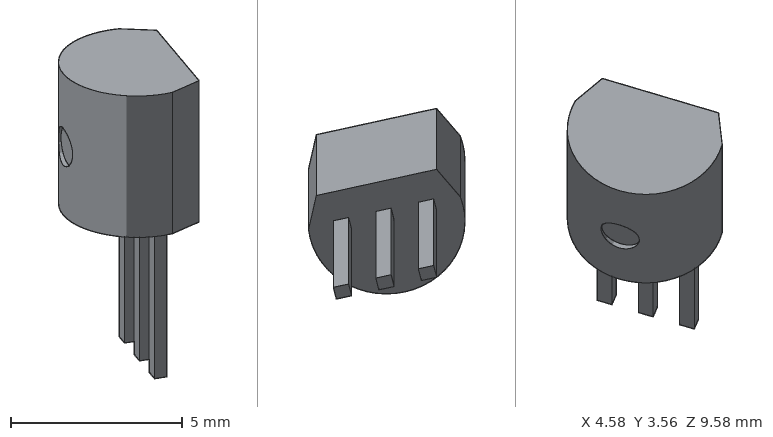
import cadquery as cq
import math

body_radius = 2.29
body_depth = 3.56
body_height = 4.58
back_y = body_depth - body_radius
back_half_width = 1.8
slant_depth = 1.01

total_height = 9.58
lead_length = total_height - body_height
lead_width = 0.46
lead_thickness = 0.38
lead_pitch = 1.27

recess_radius = 0.59
recess_depth = 0.15
recess_below_top = 2.37


def make_body():
    slant_y = back_y - slant_depth
    slant_x = math.sqrt(body_radius**2 - slant_y**2)
    return (
        cq.Workplane("XY")
        .workplane(offset=lead_length)
        .moveTo(-back_half_width, back_y)
        .lineTo(-slant_x, slant_y)
        .threePointArc((0, -body_radius), (slant_x, slant_y))
        .lineTo(back_half_width, back_y)
        .close()
        .extrude(body_height)
    )


def make_leads():
    return (
        cq.Workplane("XY")
        .center(0, lead_thickness / 2)
        .rarray(lead_pitch, 0.1, 3, 1)
        .rect(lead_width, lead_thickness)
        .extrude(lead_length)
    )


def make_recess():
    floor_distance = body_radius - recess_depth
    return (
        cq.Workplane("XZ")
        .workplane(offset=floor_distance)
        .center(0, total_height - recess_below_top)
        .circle(recess_radius)
        .extrude(body_radius)
    )


result = make_body().union(make_leads()).cut(make_recess())